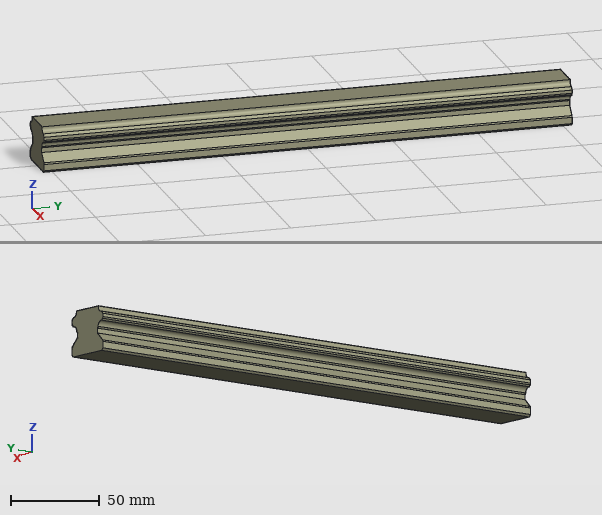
import cadquery as cq
import math

LENGTH = 310.0
WIDTH = 28.0
HEIGHT = 26.0

TOP_WIDTH = 19.8
STEP_DEPTH = 3.5
STEP_RADIUS = 2.5
SHOULDER_CHAMFER = 1.5

RELIEF_WIDTH = 18.0
RELIEF_BOTTOM = 10.5
RELIEF_TOP = 13.3
RELIEF_DEPTH = 0.5
ARC_START = 14.3
ARC_RADIUS = 3.0

LIP_WIDTH = 0.3
LIP_HEIGHT = 1.0

BASE_CHAMFER = 1.2

half_width = WIDTH / 2
half_top = TOP_WIDTH / 2
half_relief = RELIEF_WIDTH / 2
lip_x = half_width - LIP_WIDTH

arc_start_x = half_relief + RELIEF_DEPTH
arc_end_x = arc_start_x + ARC_RADIUS
arc_end_z = ARC_START + ARC_RADIUS
head_lip_z = arc_end_z + (lip_x - arc_end_x)

base_lip_z = RELIEF_BOTTOM - (lip_x - half_relief)

shoulder_z = HEIGHT - STEP_DEPTH
step_center_x = half_top + STEP_RADIUS
step_center_z = shoulder_z + STEP_RADIUS


def diagonal_point(center_x, center_z, radius, z_sign):
    """Point at 45 degrees on the inner side of a circle, above or below its centre."""
    reach = radius * math.sqrt(0.5)
    return (center_x - reach, center_z + z_sign * reach)


def half_section():
    """Closed outline of the +X half of the section, from the base up to the top land."""
    return (
        cq.Workplane("XZ")
        .moveTo(0, 0)
        .lineTo(half_width - BASE_CHAMFER, 0)
        .lineTo(half_width, BASE_CHAMFER)
        .lineTo(half_width, base_lip_z - LIP_HEIGHT)
        .lineTo(lip_x, base_lip_z)
        .lineTo(half_relief, RELIEF_BOTTOM)
        .lineTo(half_relief, RELIEF_TOP)
        .lineTo(arc_start_x, ARC_START)
        .threePointArc(
            diagonal_point(arc_end_x, ARC_START, ARC_RADIUS, 1),
            (arc_end_x, arc_end_z),
        )
        .lineTo(lip_x, head_lip_z)
        .lineTo(half_width, head_lip_z + LIP_HEIGHT)
        .lineTo(half_width, shoulder_z - SHOULDER_CHAMFER)
        .lineTo(half_width - SHOULDER_CHAMFER, shoulder_z)
        .threePointArc(
            diagonal_point(step_center_x, step_center_z, STEP_RADIUS, -1),
            (half_top, step_center_z),
        )
        .lineTo(half_top, HEIGHT)
        .lineTo(0, HEIGHT)
        .close()
    )


half_rail = half_section().extrude(LENGTH / 2, both=True)
result = half_rail.union(half_rail.mirror("YZ")).clean()